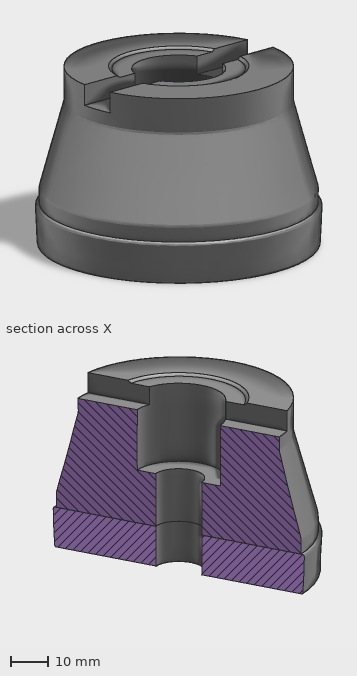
import cadquery as cq

total_height = 50.0
base_height = 11.6
shoulder_z = 15.9
neck_z = 40.1

base_radius = 38.7
base_foot_radius = 38.2
base_top_round = 0.9
base_foot_round = 0.6

wall_radius = 37.7
neck_radius = 62.0 / 2
shoulder_blend = 3.1
neck_blend = 2.3

through_diameter = 14.0
bore_diameter = 25.4
bore_depth = 23.2

recess_rim_radius = 18.95
recess_floor_radius = 18.0
recess_depth = 0.7

slot_width = 9.9
slot_depth = 5.8


def make_base():
    """Tapered disc with a rounded top edge, a rounded foot and a centre hole."""
    profile = [
        (through_diameter / 2, 0),
        (base_foot_radius, 0),
        (base_radius, base_height - base_top_round),
        (base_radius, base_height),
        (through_diameter / 2, base_height),
    ]
    disc = cq.Workplane("XZ").polyline(profile).close().revolve(360, (0, 0, 0), (0, 1, 0))
    disc = disc.faces(">Z").edges(cq.selectors.RadiusNthSelector(-1)).fillet(base_top_round)
    return disc.faces("<Z").edges(cq.selectors.RadiusNthSelector(-1)).fillet(base_foot_round)


def blend_circle_at(body, height, radius):
    """Fillet the circular edge whose centre lies on the axis at the given height."""
    circle = body.edges(cq.selectors.NearestToPointSelector((0, 0, height)))
    return circle.fillet(radius)


def make_holder_blank():
    """Stepped cone with the recess, the bore and the centre hole, blended at both cone ends."""
    bore_floor_z = total_height - bore_depth
    recess_floor_z = total_height - recess_depth
    profile = [
        (through_diameter / 2, base_height),
        (wall_radius, base_height),
        (wall_radius, shoulder_z),
        (neck_radius, neck_z),
        (neck_radius, total_height),
        (recess_rim_radius, total_height),
        (recess_floor_radius, recess_floor_z),
        (bore_diameter / 2, recess_floor_z),
        (bore_diameter / 2, bore_floor_z),
        (through_diameter / 2, bore_floor_z),
    ]
    blank = cq.Workplane("XZ").polyline(profile).close().revolve(360, (0, 0, 0), (0, 1, 0))
    blank = blend_circle_at(blank, shoulder_z, shoulder_blend)
    return blend_circle_at(blank, neck_z, neck_blend)


def make_drive_slot():
    """Cutter for the slot that runs right across the neck."""
    return (
        cq.Workplane("XY")
        .workplane(offset=total_height - slot_depth)
        .rect(slot_width, 2 * base_radius)
        .extrude(slot_depth)
    )


base = make_base()
holder = make_holder_blank().cut(make_drive_slot())

result = cq.Compound.makeCompound([base.val(), holder.val()])